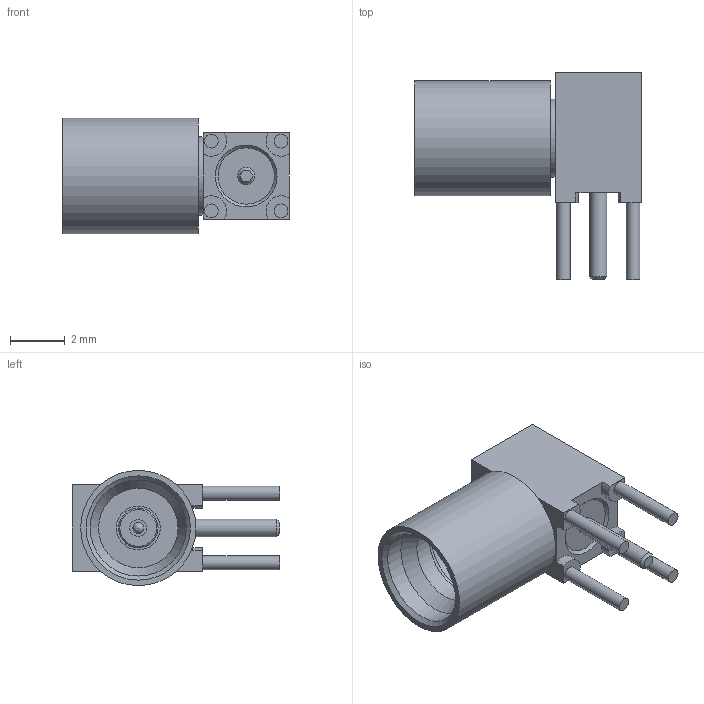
import cadquery as cq
import math


block_side = 3.15
block_length = 4.75
axis_to_back = 2.40
foot_height = 0.36
foot_radius = 0.55

sleeve_radius = 2.10
sleeve_length = 4.95
neck_radius = 1.425
neck_length = 0.17

mouth_radius = 1.90
mouth_chamfer = 0.15
entry_radius = mouth_radius - mouth_chamfer
entry_depth = 0.83
bore_radius = 1.45
taper_end_depth = 1.35
relief_start = 2.0
relief_ramp_length = 0.13
relief_radius = 1.48
bore_depth = 4.0

insulator_base_radius = 0.80
insulator_base_height = 0.15
insulator_radius = 0.72
insulator_chamfer = 0.05
insulator_height = 0.60
shoulder_radius = 0.31
shoulder_height = 0.80
contact_radius = 0.20
contact_tip_depth = 2.40

pin_length = 2.80
leg_pitch = 2.54
leg_radius = 0.25
center_pin_radius = 0.315
center_pin_chamfer = 0.10
recess_radius = 1.125
recess_depth = 0.10
recess_wall_angle = 45

block_start_x = sleeve_length + neck_length
block_center_x = block_start_x + block_side / 2
back_y = axis_to_back
foot_y = back_y - block_length
seat_y = foot_y + foot_height
pin_end_y = foot_y - pin_length
recess_floor_y = seat_y + recess_depth


def disc_along_y(radius, start_y, end_y, x=block_center_x, z=0):
    """Cylinder parallel to Y, running from start_y toward the lower end_y."""
    plane = cq.Workplane("XZ", origin=(x, start_y, z))
    return plane.circle(radius).extrude(start_y - end_y)


def turned_about_x(profile):
    """Solid of revolution about X from (x, radius) points."""
    outline = cq.Workplane("XY").polyline(profile).close()
    return outline.revolve(360, (0, 0, 0), (1, 0, 0))


def make_block():
    """Square block with a rounded foot left standing at each corner and a round recess between them."""
    plane = cq.Workplane("XZ", origin=(block_center_x, back_y, 0))
    body = plane.rect(block_side, block_side).extrude(back_y - seat_y)
    envelope = plane.rect(block_side, block_side).extrude(block_length)
    for x, z in leg_positions():
        foot = disc_along_y(foot_radius, seat_y, foot_y, x, z)
        body = body.union(foot.intersect(envelope))
    recess = (
        cq.Workplane("XZ", origin=(block_center_x, seat_y, 0))
        .circle(recess_radius)
        .extrude(-recess_depth, taper=recess_wall_angle)
    )
    return body.cut(recess)


def leg_positions():
    """(x, z) centers of the four legs."""
    half_pitch = leg_pitch / 2
    return [
        (block_center_x + side_x * half_pitch, side_z * half_pitch)
        for side_x in (-1, 1)
        for side_z in (-1, 1)
    ]


def make_sleeve():
    """Outer sleeve and neck, with the stepped, rear-relieved bore removed."""
    sleeve = turned_about_x([
        (0, 0),
        (0, sleeve_radius),
        (sleeve_length, sleeve_radius),
        (sleeve_length, neck_radius),
        (block_start_x, neck_radius),
        (block_start_x, 0),
    ])
    bore = turned_about_x([
        (0, 0),
        (0, mouth_radius),
        (mouth_chamfer, entry_radius),
        (entry_depth, entry_radius),
        (taper_end_depth, bore_radius),
        (relief_start, bore_radius),
        (relief_start + relief_ramp_length, relief_radius),
        (bore_depth, relief_radius),
        (bore_depth, 0),
    ])
    return sleeve.cut(bore)


def make_contact():
    """Stepped insulator on the bore floor, carrying the round-nosed contact."""
    base_x = bore_depth - insulator_base_height
    face_x = bore_depth - insulator_height
    shoulder_x = bore_depth - shoulder_height
    nose_x = contact_tip_depth + contact_radius
    nose_mid = contact_radius * math.sqrt(0.5)
    return (
        cq.Workplane("XY")
        .moveTo(bore_depth, 0)
        .lineTo(bore_depth, insulator_base_radius)
        .lineTo(base_x, insulator_base_radius)
        .lineTo(base_x, insulator_radius)
        .lineTo(face_x + insulator_chamfer, insulator_radius)
        .lineTo(face_x, insulator_radius - insulator_chamfer)
        .lineTo(face_x, shoulder_radius)
        .lineTo(shoulder_x, shoulder_radius)
        .lineTo(shoulder_x, contact_radius)
        .lineTo(nose_x, contact_radius)
        .threePointArc((nose_x - nose_mid, nose_mid), (contact_tip_depth, 0))
        .close()
        .revolve(360, (0, 0, 0), (1, 0, 0))
    )


def make_pins():
    """Four corner legs and the chamfered center pin."""
    pins = disc_along_y(center_pin_radius, recess_floor_y, pin_end_y)
    pins = pins.faces("<Y").chamfer(center_pin_chamfer)
    for x, z in leg_positions():
        pins = pins.add(disc_along_y(leg_radius, foot_y, pin_end_y, x, z))
    return pins.combine()


result = make_block().union(make_sleeve()).union(make_contact()).union(make_pins())